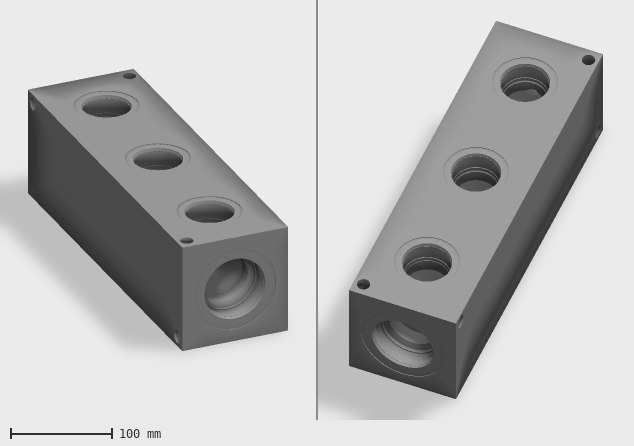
import cadquery as cq
import math

length = 381.0
width = 114.3
height = 114.3

mount_diameter = 13.5
mount_end_inset = 12.5
mount_edge_inset = 10.3

outlet_spotface = 65.0
outlet_mouth = 50.0
outlet_mouth_root = 48.0
outlet_thread = 47.5
outlet_tap_drill = 45.7
outlet_bores = [44.5, 43.0, 43.0]
outlet_pitch = length / len(outlet_bores)
outlet_bore_depth = 37.0

inlet_spotface = 88.0
inlet_mouth = 65.5
inlet_mouth_root = 64.0
inlet_thread = 63.5
inlet_tap_drill = 61.5
inlet_bore = 50.5
inlet_bore_depth = 40.8

spotface_depth = 0.8
mouth_depth = 4.0
thread_depth = 20.0
tap_drill_depth = 23.5
drill_point_angle = 118.0


def point_depth(diameter_drop):
    """Depth over which a drill point cone narrows by the given diameter."""
    return diameter_drop / 2 / math.tan(math.radians(drill_point_angle / 2))


def port_cutter(spotface, mouth, mouth_root, thread, tap_drill, bore, bore_depth):
    """Stepped threaded port about Z, opening at Z = 0 and ending below in a drill point."""
    bore_start = tap_drill_depth + point_depth(tap_drill - bore)
    bore_tip = bore_depth + point_depth(bore)
    profile = [
        (0, 0),
        (spotface / 2, 0),
        (spotface / 2, -spotface_depth),
        (mouth / 2, -spotface_depth),
        (mouth_root / 2, -mouth_depth),
        (thread / 2, -mouth_depth),
        (thread / 2, -thread_depth),
        (tap_drill / 2, -thread_depth),
        (tap_drill / 2, -tap_drill_depth),
        (bore / 2, -bore_start),
        (bore / 2, -bore_depth),
        (0, -bore_tip),
    ]
    return cq.Workplane("XZ").polyline(profile).close().revolve(360, (0, 0, 0), (0, 1, 0))


def mounting_holes(plane, depth, face_height):
    """Two through holes at the upper left and lower right corners of a long face."""
    centers = [
        (mount_end_inset, face_height - mount_edge_inset),
        (length - mount_end_inset, mount_edge_inset),
    ]
    return cq.Workplane(plane).pushPoints(centers).circle(mount_diameter / 2).extrude(depth)


block = cq.Workplane("XY").box(length, width, height, centered=False)

for index, outlet_bore in enumerate(outlet_bores):
    outlet = port_cutter(
        outlet_spotface, outlet_mouth, outlet_mouth_root, outlet_thread,
        outlet_tap_drill, outlet_bore, outlet_bore_depth,
    )
    outlet_x = outlet_pitch * (index + 0.5)
    block = block.cut(outlet.translate((outlet_x, width / 2, height)))

inlet = port_cutter(
    inlet_spotface, inlet_mouth, inlet_mouth_root, inlet_thread,
    inlet_tap_drill, inlet_bore, inlet_bore_depth,
).rotate((0, 0, 0), (0, 1, 0), -90)
inlet = inlet.translate((0, width / 2, height / 2))
block = block.cut(inlet)
block = block.cut(inlet.mirror("YZ", (length / 2, 0, 0)))

block = block.cut(mounting_holes("XY", height, width))
block = block.cut(mounting_holes("XZ", -width, height))

result = block